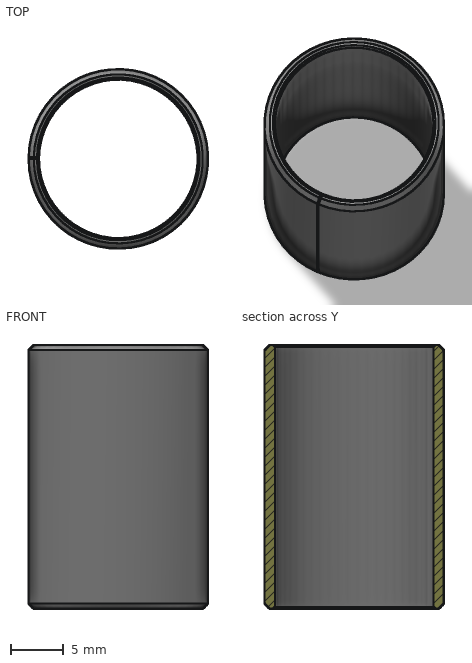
import cadquery as cq

length = 25.0
outer_diameter = 17.0
wall_thickness = 1.0
outer_chamfer = 0.5
inner_chamfer = 0.2
slit_angle = 1.0
full_turn = 360.0

outer_radius = outer_diameter / 2
inner_radius = outer_radius - wall_thickness
half_length = length / 2


def wall_section():
    """Wall profile on the -X side, chamfered inside and outside at both ends."""
    return (
        cq.Workplane("XZ")
        .moveTo(-inner_radius - inner_chamfer, -half_length)
        .lineTo(-outer_radius + outer_chamfer, -half_length)
        .lineTo(-outer_radius, -half_length + outer_chamfer)
        .lineTo(-outer_radius, half_length - outer_chamfer)
        .lineTo(-outer_radius + outer_chamfer, half_length)
        .lineTo(-inner_radius - inner_chamfer, half_length)
        .lineTo(-inner_radius, half_length - inner_chamfer)
        .lineTo(-inner_radius, -half_length + inner_chamfer)
        .close()
    )


result = wall_section().revolve(full_turn - slit_angle, (0, 0, 0), (0, 1, 0))